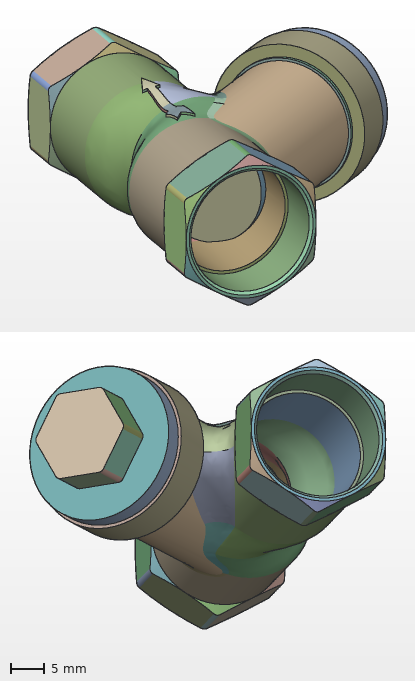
import cadquery as cq
import math

length = 64.5
pipe_d = 21.0
bore_d = 18.2
thread_d = 19.15
thread_depth = 9.0
mouth_chamfer = 0.45

end_hex_flats = pipe_d
end_hex_length = 9.1
hex_edge_radius = 0.95
hex_chamfer_angle = 30.0

bow_half_length = 9.0
bow_rise = 3.9
bore_bow_rise = 4.2
bow_sections = 6

branch_x = 11.75
branch_angle = 135.0
branch_d = 20.2
branch_fillet = 4.0
flat_seam_limit = 0.3
strainer_d = 17.9
strainer_start = 2.2

branch_end = 49.15
cap_hex_flats = 13.35
cap_hex_length = 6.0
cap_rim_d = 24.0
cap_rim_length = 2.95
cap_d = 25.0
cap_length = 6.9
collar_d = 21.0
collar_length = 0.6
cap_hex_start = branch_end - cap_hex_length
cap_rim_start = cap_hex_start - cap_rim_length
cap_start = cap_rim_start - cap_length
collar_start = cap_start - collar_length

arrow_y = -0.9
arrow_raise = 0.4
arrow_tip_x = -10.25
arrow_head_x = -6.1
arrow_shaft_end_x = 2.2
arrow_tail_x = 3.35
arrow_notch_x = 6.0
arrow_end_x = 8.05
arrow_half_width = 1.4
arrow_shaft_half_width = 0.65


def x_cylinder(diameter, start, end):
    """Cylinder on the pipe axis between two X positions."""
    return cq.Workplane("YZ", origin=(start, 0, 0)).circle(diameter / 2).extrude(end - start)


def bowed_pipe(diameter, rise):
    """Full-length round bar whose middle is shifted smoothly towards +Y."""
    step = bow_half_length / bow_sections
    wires = []
    for index in range(-bow_sections, bow_sections + 1):
        x = index * step
        y = rise / 2 * (1 + math.cos(math.pi * x / bow_half_length))
        section = cq.Workplane("YZ", origin=(x, y, 0)).circle(diameter / 2)
        wires.append(section.wires().val())
    rising = cq.Workplane(obj=cq.Solid.makeLoft(wires[:bow_sections + 1]))
    falling = cq.Workplane(obj=cq.Solid.makeLoft(wires[bow_sections:]))
    left = x_cylinder(diameter, -length / 2, -bow_half_length)
    right = x_cylinder(diameter, bow_half_length, length / 2)
    return rising.union(falling).union(left).union(right)


def branch_plane(distance):
    """Plane square to the branch axis, with its local Y along Z."""
    angle = math.radians(branch_angle)
    axis = cq.Vector(math.cos(angle), math.sin(angle), 0)
    origin = cq.Vector(branch_x, 0, 0) + axis * distance
    return cq.Plane(origin=origin, xDir=axis.cross(cq.Vector(0, 0, -1)), normal=axis)


def branch_cylinder(diameter, start, end):
    """Cylinder on the branch axis between two distances along it."""
    return cq.Workplane(branch_plane(start)).circle(diameter / 2).extrude(end - start)


def hexagon(plane, flats, height):
    """Hexagonal prism with rounded edges and two corners on the local X axis."""
    corner_d = flats / math.cos(math.pi / 6)
    prism = cq.Workplane(plane).polygon(6, corner_d).extrude(height)
    return prism.edges(cq.selectors.ParallelDirSelector(plane.zDir)).fillet(hex_edge_radius)


def end_hexagon(start):
    """Hexagonal pipe end, corners up and down, chamfered by a cone at both ends."""
    plane = cq.Plane(origin=(start, 0, 0), xDir=(0, 0, 1), normal=(1, 0, 0))
    face_r = end_hex_flats / 2
    middle_r = face_r + end_hex_length / 2 / math.tan(math.radians(hex_chamfer_angle))
    envelope = (
        cq.Workplane("XY")
        .polyline([
            (start, 0),
            (start, face_r),
            (start + end_hex_length / 2, middle_r),
            (start + end_hex_length, face_r),
            (start + end_hex_length, 0),
        ])
        .close()
        .revolve(360, (0, 0, 0), (1, 0, 0))
    )
    return hexagon(plane, end_hex_flats, end_hex_length).intersect(envelope)


def flow_arrow():
    """Arrow pointing to -X that follows the bowed pipe surface."""
    upper = [
        (arrow_head_x, arrow_half_width),
        (arrow_head_x, arrow_shaft_half_width),
        (arrow_shaft_end_x, arrow_shaft_half_width),
        (arrow_tail_x, arrow_half_width),
        (arrow_end_x, arrow_half_width),
    ]
    lower = [(x, -y) for x, y in reversed(upper)]
    outline = [(arrow_tip_x, 0)] + upper + [(arrow_notch_x, 0)] + lower
    prism = cq.Workplane("XY").center(0, arrow_y).polyline(outline).close().extrude(pipe_d)
    return prism.intersect(bowed_pipe(pipe_d + 2 * arrow_raise, bow_rise))


def threaded_mouth(side):
    """Wider bore at one pipe end (side is -1 or +1) with a chamfered mouth."""
    face_x = length / 2
    inner_x = face_x - thread_depth
    thread_r = thread_d / 2
    profile = [
        (side * inner_x, 0),
        (side * inner_x, thread_r),
        (side * (face_x - mouth_chamfer), thread_r),
        (side * face_x, thread_r + mouth_chamfer),
        (side * face_x, 0),
    ]
    return cq.Workplane("XY").polyline(profile).close().revolve(360, (0, 0, 0), (1, 0, 0))


pipe = bowed_pipe(pipe_d, bow_rise)
branch = branch_cylinder(branch_d, strainer_start, cap_hex_start)
body = pipe.union(branch)
joint_edges = [
    edge
    for edge in body.edges().vals()
    if edge.geomType() not in ("CIRCLE", "LINE") and edge.BoundingBox().xlen > flat_seam_limit
]
body = body.newObject(joint_edges).fillet(branch_fillet)

body = body.union(branch_cylinder(collar_d, collar_start, cap_start))
body = body.union(branch_cylinder(cap_d, cap_start, cap_rim_start))
body = body.union(branch_cylinder(cap_rim_d, cap_rim_start, cap_hex_start))
body = body.union(hexagon(branch_plane(cap_hex_start), cap_hex_flats, cap_hex_length))
body = body.union(end_hexagon(-length / 2))
body = body.union(end_hexagon(length / 2 - end_hex_length))
body = body.union(flow_arrow())

body = body.cut(bowed_pipe(bore_d, bore_bow_rise))
for side in (-1, 1):
    body = body.cut(threaded_mouth(side))
body = body.union(branch_cylinder(strainer_d, strainer_start, cap_start))

result = body